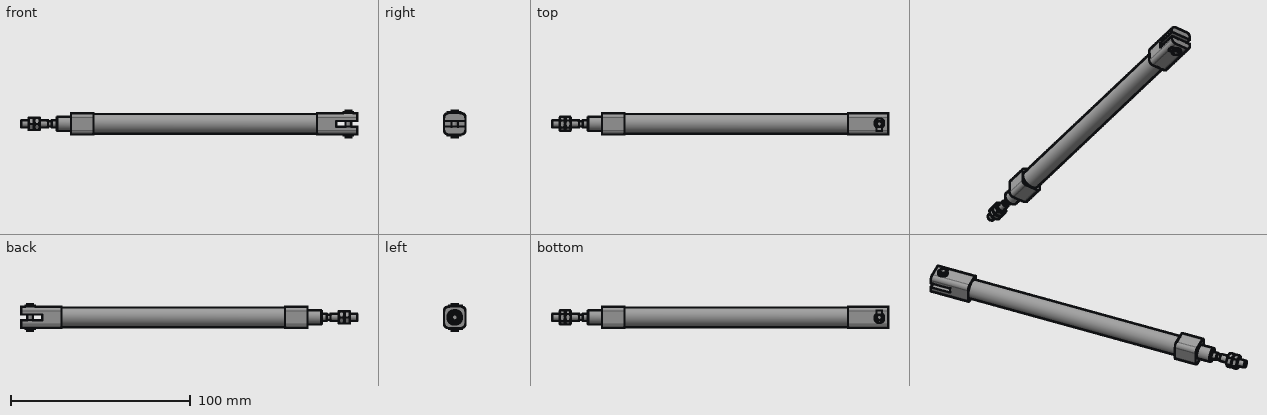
import cadquery as cq

total_length = 187.0
nut_start = 4.1
nut_thickness = 3.2
neck_start = 15.0
neck_length = 2.2
neck_cone_length = 0.4
collar_start = 19.8
head_start = 27.7
head_length = 12.5
clevis_start = 164.5

block_width = 12.0
block_corner_radius = 2.5
tube_diameter = 11.0
collar_diameter = 8.0
collar_chamfer = 0.5
slot_length = 11.8
slot_width = 3.0

rod_diameter = 4.1
neck_diameter = 3.2
nut_across_corners = 8.0
nut_chamfer_length = 0.5
nut_end_diameter = 6.4
rod_tip_chamfer = 0.4

pin_x = 182.0
pin_diameter = 3.4
groove_diameter = 3.0
pin_length = 15.1
clip_thickness = 0.5
clip_diameter = 5.5
clip_offset = 0.4
clip_tail_width = 3.0
clip_tail_reach = 4.0

tube_start = head_start + head_length
clip_seat = block_width / 2


def cylinder_x(diameter, start, end):
    return cq.Workplane("YZ", origin=(start, 0, 0)).circle(diameter / 2).extrude(end - start)


def cylinder_z(diameter, bottom, top):
    return cq.Workplane("XY", origin=(pin_x, 0, bottom)).circle(diameter / 2).extrude(top - bottom)


def rounded_block(start, end):
    block = cq.Workplane("YZ", origin=(start, 0, 0)).rect(block_width, block_width).extrude(end - start)
    return block.edges("|X").fillet(block_corner_radius)


def make_housing():
    collar = cylinder_x(collar_diameter, collar_start, head_start).faces("<X").chamfer(collar_chamfer)
    head = rounded_block(head_start, tube_start)
    tube = cylinder_x(tube_diameter, tube_start, clevis_start)
    clevis = rounded_block(clevis_start, total_length)
    slot = cq.Workplane("XY").box(slot_length, block_width, slot_width).translate(
        (total_length - slot_length / 2, 0, 0)
    )
    housing = collar.union(head).union(tube).union(clevis).cut(slot)
    housing = housing.cut(cylinder_x(rod_diameter, collar_start, tube_start))
    return housing.cut(cylinder_z(pin_diameter, -clip_seat, clip_seat))


def hexagon_nut(start):
    """Hexagon with corners toward +Y and -Y, its corners turned down to a cone at both ends."""
    end = start + nut_thickness
    hexagon = cq.Workplane("YZ", origin=(start, 0, 0)).polygon(6, nut_across_corners).extrude(nut_thickness)
    corner_radius = nut_across_corners / 2
    end_radius = nut_end_diameter / 2
    envelope = (
        cq.Workplane("XY")
        .moveTo(start, 0)
        .lineTo(start, end_radius)
        .lineTo(start + nut_chamfer_length, corner_radius)
        .lineTo(end - nut_chamfer_length, corner_radius)
        .lineTo(end, end_radius)
        .lineTo(end, 0)
        .close()
        .revolve(360, (0, 0, 0), (1, 0, 0))
    )
    return hexagon.intersect(envelope)


def make_rod():
    rod_radius = rod_diameter / 2
    neck_radius = neck_diameter / 2
    neck_end = neck_start + neck_length
    rod = (
        cq.Workplane("XY")
        .lineTo(0, rod_radius - rod_tip_chamfer)
        .lineTo(rod_tip_chamfer, rod_radius)
        .lineTo(neck_start, rod_radius)
        .lineTo(neck_start, neck_radius)
        .lineTo(neck_end - neck_cone_length, neck_radius)
        .lineTo(neck_end, rod_radius)
        .lineTo(tube_start, rod_radius)
        .lineTo(tube_start, 0)
        .close()
        .revolve(360, (0, 0, 0), (1, 0, 0))
    )
    for index in range(2):
        rod = rod.union(hexagon_nut(nut_start + index * nut_thickness))
    return rod


def clip_groove(side):
    """Space of the pin groove, seated against the clevis face on the given side (+1 or -1)."""
    seats = sorted((side * clip_seat, side * (clip_seat + clip_thickness)))
    return cylinder_z(pin_diameter, *seats).cut(cylinder_z(groove_diameter, *seats))


def make_pin():
    pin = cylinder_z(pin_diameter, -pin_length / 2, pin_length / 2)
    for side in (-1, 1):
        pin = pin.cut(clip_groove(side))
    return pin


def make_clip(side):
    """Flat plate in the pin groove, round and set slightly toward +Y, with a straight tail toward -Y."""
    seats = sorted((side * clip_seat, side * (clip_seat + clip_thickness)))
    tail = (
        cq.Workplane("XY", origin=(pin_x, -clip_tail_reach / 2, seats[0]))
        .rect(clip_tail_width, clip_tail_reach)
        .extrude(clip_thickness)
    )
    plate = cylinder_z(clip_diameter, *seats).translate((0, clip_offset, 0))
    return plate.union(tail).cut(cylinder_z(groove_diameter, *seats))


housing = make_housing()
rod = make_rod()
pin = make_pin()
clips = [make_clip(side) for side in (-1, 1)]

result = cq.Compound.makeCompound([housing.val(), rod.val(), pin.val(), *[clip.val() for clip in clips]])